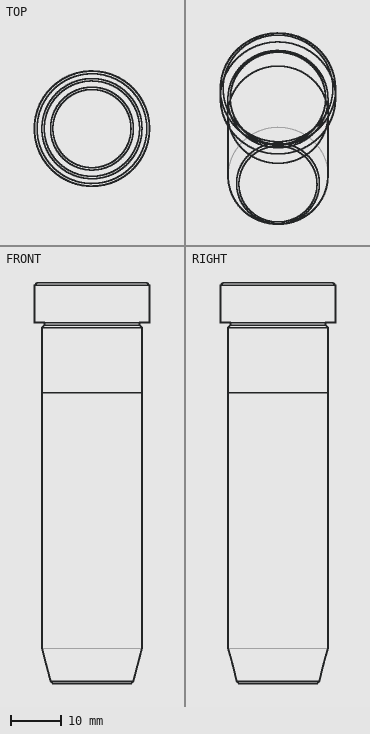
import cadquery as cq

total_height = 80.0
head_diameter = 23.0
head_height = 8.0
head_chamfer = 0.6

shank_diameter = 20.0
undercut_diameter = 19.0
undercut_height = 0.5
shoulder_chamfer = (shank_diameter - undercut_diameter) / 2

joint_height = 58.0

taper_height = 7.0
tip_diameter = 16.6
tip_chamfer = 0.5

head_bottom = total_height - head_height
shoulder_top = head_bottom - undercut_height


def make_cylinder(diameter, bottom, height):
    """Upright cylinder on the pin axis."""
    return cq.Workplane("XY").workplane(offset=bottom).circle(diameter / 2).extrude(height)


def make_headed_body():
    """Head, undercut and upper shank, down to the joint."""
    head = make_cylinder(head_diameter, head_bottom, head_height)
    head = head.faces(">Z").chamfer(head_chamfer)
    undercut = make_cylinder(undercut_diameter, shoulder_top, undercut_height)
    shank = make_cylinder(shank_diameter, joint_height, shoulder_top - joint_height)
    shank = shank.faces(">Z").chamfer(shoulder_chamfer)
    return head.union(undercut).union(shank)


def make_guide_body():
    """Lower shank with a tapered, chamfered tip."""
    shank_radius = shank_diameter / 2
    tip_radius = tip_diameter / 2
    profile = [
        (0, 0),
        (tip_radius - tip_chamfer, 0),
        (tip_radius, tip_chamfer),
        (shank_radius, taper_height),
        (shank_radius, joint_height),
        (0, joint_height),
    ]
    return cq.Workplane("XZ").polyline(profile).close().revolve(360, (0, 0, 0), (0, 1, 0))


headed_body = make_headed_body()
guide_body = make_guide_body()

result = cq.Compound.makeCompound([headed_body.val(), guide_body.val()])